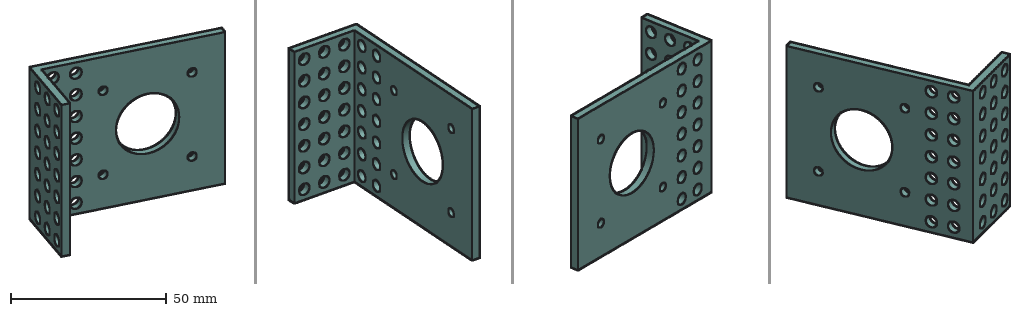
import cadquery as cq

width = 27.0
depth = 67.0
height = 56.0
thickness = 3.0

row_count = 7
pitch = height / row_count
flange_columns = 3
plate_columns = 2
flange_hole_diameter = 4.1
plate_hole_diameter = 4.0

motor_y = 40.0
motor_z = height / 2
motor_bore_diameter = 22.0
screw_spacing = 31.0
screw_diameter = 3.0

plate = cq.Workplane("XY").box(thickness, depth, height, centered=False)
flange = cq.Workplane("XY").box(width, thickness, height, centered=False)
bracket = plate.union(flange)


def plate_holes(diameter, positions):
    """Cutters along X through the large plate at (y, z) positions."""
    return cq.Workplane("YZ").pushPoints(positions).circle(diameter / 2).extrude(thickness)


def flange_holes(diameter, positions):
    """Cutters along Y through the flange at (x, z) positions."""
    return cq.Workplane("XZ").pushPoints(positions).circle(diameter / 2).extrude(-thickness)


def grid(first_column, column_count):
    """Hole centres, with the rows half a pitch in from the bottom and top edges."""
    return [
        (first_column + column * pitch, (row + 0.5) * pitch)
        for column in range(column_count)
        for row in range(row_count)
    ]


flange_first_column = width - (flange_columns - 0.5) * pitch
bracket = bracket.cut(flange_holes(flange_hole_diameter, grid(flange_first_column, flange_columns)))

plate_first_column = thickness + pitch / 2
bracket = bracket.cut(plate_holes(plate_hole_diameter, grid(plate_first_column, plate_columns)))

bracket = bracket.cut(plate_holes(motor_bore_diameter, [(motor_y, motor_z)]))
screw_positions = [
    (motor_y + y_side * screw_spacing / 2, motor_z + z_side * screw_spacing / 2)
    for y_side in (-1, 1)
    for z_side in (-1, 1)
]
bracket = bracket.cut(plate_holes(screw_diameter, screw_positions))

result = bracket